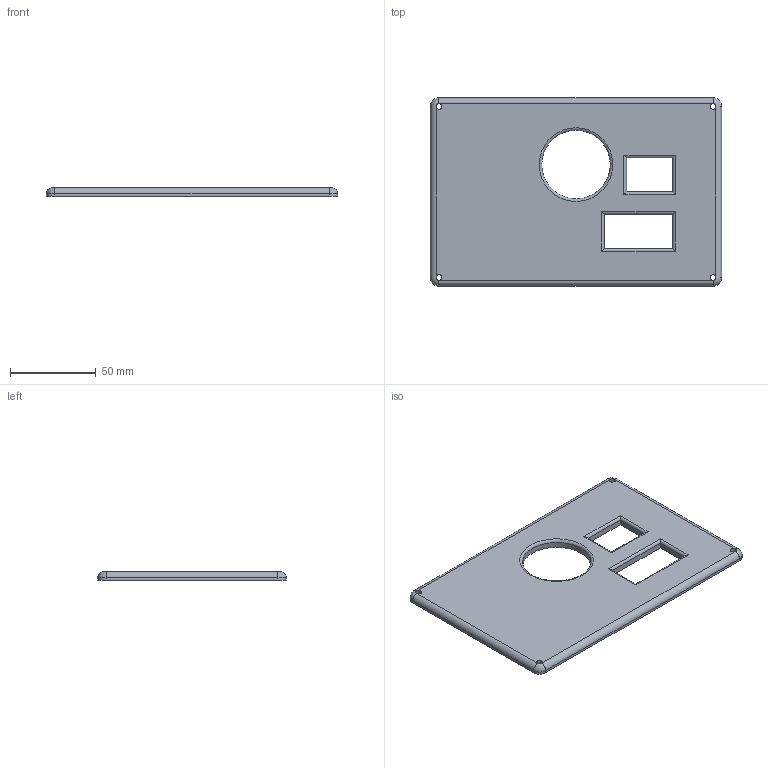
import cadquery as cq

LENGTH = 170.0
WIDTH = 110.0
THICKNESS = 5.0
CORNER_RADIUS = 5.0
RIM_FILLET = 3.5

SCREW_DIAMETER = 3.4
SCREW_INSET = CORNER_RADIUS

OPENING_FILLET = 1.5
ROUND_DIAMETER = 40.0
ROUND_CENTER = (0.0, 16.0)
WINDOW_HEIGHT = 20.0
WINDOW_RIGHT = 56.5
SHORT_WINDOW_LENGTH = 27.0
SHORT_WINDOW_Y = 10.0
LONG_WINDOW_LENGTH = 40.0
LONG_WINDOW_Y = -23.0


def make_plate():
    """Rounded plate with its base on Z = 0 and a filleted top rim."""
    plate = cq.Workplane("XY").box(LENGTH, WIDTH, THICKNESS, centered=(True, True, False))
    return plate.edges("|Z").fillet(CORNER_RADIUS).faces(">Z").edges().fillet(RIM_FILLET)


def round_cutter():
    return cq.Workplane("XY").center(*ROUND_CENTER).circle(ROUND_DIAMETER / 2).extrude(THICKNESS)


def window_cutter(length, center_y):
    """Rectangular cutter whose right side lies on the common window line."""
    center_x = WINDOW_RIGHT - length / 2
    return cq.Workplane("XY").center(center_x, center_y).rect(length, WINDOW_HEIGHT).extrude(THICKNESS)


def cut_openings(plate):
    """Cut the round opening and both windows, then round over their top edges."""
    cutters = [
        round_cutter(),
        window_cutter(SHORT_WINDOW_LENGTH, SHORT_WINDOW_Y),
        window_cutter(LONG_WINDOW_LENGTH, LONG_WINDOW_Y),
    ]
    for cutter in cutters:
        plate = plate.cut(cutter)
    opening_rims = plate.faces(">Z").val().innerWires()
    rim_edges = [edge for rim in opening_rims for edge in rim.Edges()]
    return plate.newObject(rim_edges).fillet(OPENING_FILLET)


def screw_cutters():
    spacing_x = LENGTH - 2 * SCREW_INSET
    spacing_y = WIDTH - 2 * SCREW_INSET
    centers = cq.Workplane("XY").rect(spacing_x, spacing_y, forConstruction=True).vertices()
    return centers.circle(SCREW_DIAMETER / 2).extrude(THICKNESS)


result = cut_openings(make_plate()).cut(screw_cutters())